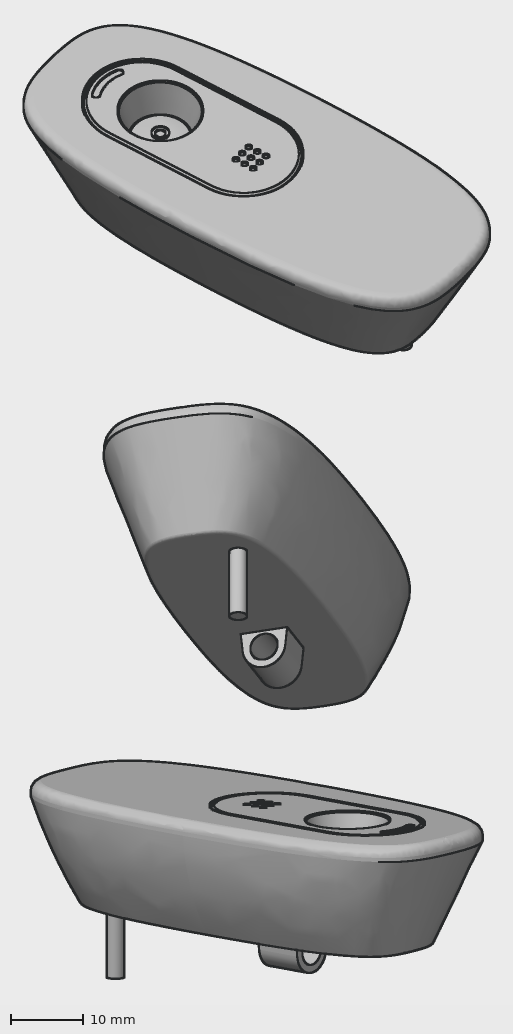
import cadquery as cq
import math

length = 71.0
width = 31.4
body_height = 17.05
rim_band = 2.05
rim_fillet = 1.5
base_length = 57.1
base_width = 21.0
base_fillet = 0.65
back_bulge = 1.1

handle_x = 0.94
handle_y = 0.66

panel_x = -11.0
panel_length = 34.1
panel_width = 16.6
groove_width = 0.3
groove_depth = 0.4
panel_chamfer = 0.35

lens_x = -16.55
well_diameter = 11.9
well_floor_diameter = 8.8
well_depth = 5.1
well_lip = 0.2
lens_diameter = 8.5
lens_rise = 0.9
aperture_diameter = 2.5
aperture_depth = 0.2
aperture_bore = 1.5
aperture_bore_depth = 0.4

mic_x = -1.0
mic_pitch = 1.5
mic_diameter = 0.9
mic_depth = 0.35

light_radius = 6.45
light_width = 1.15
light_half_angle = 25.0
light_depth = 0.2

clip_x_start = -10.0
clip_length = 6.95
clip_root_width = 6.8
clip_radius = 3.1
clip_bore = 4.0
clip_center_z = -2.5
pin_x = 21.65
pin_y = 4.75
pin_diameter = 2.5
pin_length = 9.95


def outline(plane, half_length, front, back):
    """Closed rounded outline of four quarter curves, tangent at the axes."""
    def quarter(wp, start, end):
        sx, sy = start
        ex, ey = end
        if sx == 0:
            handles = [(handle_x * ex, sy), (ex, handle_y * sy)]
        else:
            handles = [(sx, handle_y * ey), (handle_x * sx, ey)]
        return wp.bezier([start] + handles + [end])

    corners = [(half_length, 0), (0, back), (-half_length, 0), (0, -front)]
    for i, corner in enumerate(corners):
        plane = quarter(plane, corner, corners[(i + 1) % 4])
    return plane.wire()


def make_body():
    wall_top = body_height - rim_band
    sections = []
    for t in (0.0, 0.5, 1.0):
        half_length = (base_length + t * (length - base_length)) / 2
        front = (base_width + t * (width - base_width)) / 2
        back = front + 4 * back_bulge * t * (1 - t)
        section = outline(cq.Workplane("XY", origin=(0, 0, t * wall_top)), half_length, front, back)
        sections.append(section.val())
    wall = cq.Workplane(cq.Solid.makeLoft(sections)).faces("<Z").edges().fillet(base_fillet)
    rim = outline(cq.Workplane("XY", origin=(0, 0, wall_top)), length / 2, width / 2, width / 2)
    rim = rim.extrude(rim_band).faces(">Z").edges().fillet(rim_fillet)
    return wall.union(rim)


def top_plane(x=0.0, below=0.0):
    return cq.Workplane("XY", origin=(x, 0, body_height - below))


def panel_groove():
    inner_length = panel_length - 2 * groove_width
    inner_width = panel_width - 2 * groove_width
    outer = top_plane(panel_x).slot2D(panel_length, panel_width).extrude(-groove_depth)
    inner = top_plane(panel_x).slot2D(inner_length, inner_width).extrude(-groove_depth)
    inner = inner.faces(">Z").edges().chamfer(panel_chamfer)
    return outer.cut(inner)


def lens_well():
    """Recess volume: a chamfered cone, minus the domed lens with its stepped aperture."""
    top_radius = well_diameter / 2
    floor_radius = well_floor_diameter / 2
    lens_radius = lens_diameter / 2
    dome_radius = (lens_radius**2 + lens_rise**2) / (2 * lens_rise)
    mid_radius = lens_radius / 2
    mid_rise = lens_rise - dome_radius + math.sqrt(dome_radius**2 - mid_radius**2)
    profile = (
        cq.Workplane("XZ", origin=(lens_x, 0, body_height))
        .moveTo(0, 0)
        .lineTo(top_radius, 0)
        .lineTo(top_radius - well_lip, -well_lip)
        .lineTo(floor_radius, -well_depth)
        .lineTo(lens_radius, -well_depth)
        .threePointArc((mid_radius, mid_rise - well_depth), (0, lens_rise - well_depth))
        .close()
    )
    well = profile.revolve(360, (0, 0, 0), (0, 1, 0))
    apex = top_plane(lens_x, well_depth - lens_rise)
    aperture = apex.circle(aperture_diameter / 2).extrude(-aperture_depth)
    bore = apex.circle(aperture_bore / 2).extrude(-aperture_bore_depth)
    return well.union(aperture).union(bore)


def microphone_holes():
    return top_plane(mic_x).rarray(mic_pitch, mic_pitch, 3, 3).circle(mic_diameter / 2).extrude(-mic_depth)


def light_recess():
    arc_x = panel_x - (panel_length - panel_width) / 2
    half_angle = math.radians(light_half_angle)

    def polar(radius, angle):
        return (-radius * math.cos(angle), radius * math.sin(angle))

    outer = light_radius + light_width / 2
    inner = light_radius - light_width / 2
    cap_angle = half_angle + light_width / 2 / light_radius
    return (
        top_plane(arc_x)
        .moveTo(*polar(outer, -half_angle))
        .threePointArc(polar(outer, 0), polar(outer, half_angle))
        .threePointArc(polar(light_radius, cap_angle), polar(inner, half_angle))
        .threePointArc(polar(inner, 0), polar(inner, -half_angle))
        .threePointArc(polar(light_radius, -cap_angle), polar(outer, -half_angle))
        .close()
        .extrude(-light_depth)
    )


def clip_loop():
    """Loop whose straight flanks run from its root tangent to the round end."""
    root = clip_root_width / 2
    root_distance = math.hypot(root, clip_center_z)
    tangent_angle = math.atan2(-clip_center_z, root) - math.acos(clip_radius / root_distance)
    tangent_y = clip_radius * math.cos(tangent_angle)
    tangent_z = clip_center_z + clip_radius * math.sin(tangent_angle)
    return (
        cq.Workplane("YZ", origin=(clip_x_start, 0, 0))
        .moveTo(-root, 0)
        .lineTo(-tangent_y, tangent_z)
        .threePointArc((0, clip_center_z - clip_radius), (tangent_y, tangent_z))
        .lineTo(root, 0)
        .close()
        .moveTo(0, clip_center_z)
        .circle(clip_bore / 2)
        .extrude(clip_length)
    )


def cable_pin():
    return cq.Workplane("XY").center(pin_x, pin_y).circle(pin_diameter / 2).extrude(-pin_length)


result = make_body().union(clip_loop()).union(cable_pin())
for recess in (panel_groove(), lens_well(), microphone_holes(), light_recess()):
    result = result.cut(recess)